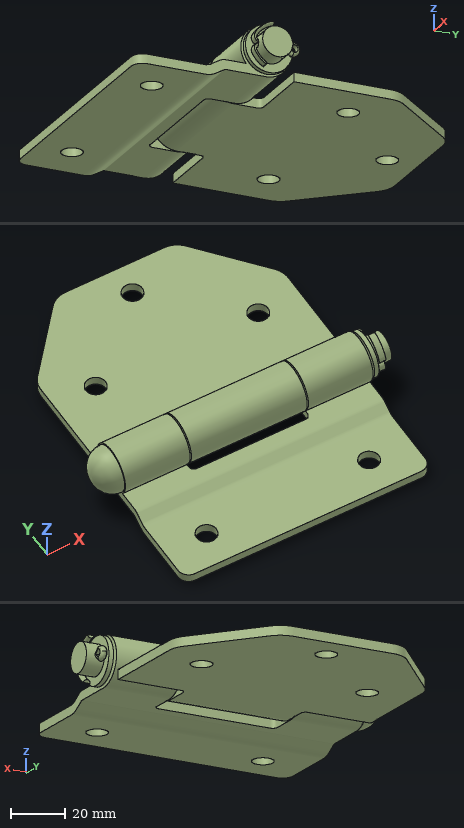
import cadquery as cq
import math


sheet = 3.9
knuckle_r = 10.2
half_width = 53.3
leaf_top = sheet - knuckle_r
middle_knuckle_half = 24.9
knuckle_gap = 0.5
notch_reach = 11.5
notch_corner_r = 2.0
cut_height = 4 * knuckle_r

upper_end = 87.2
shoulder_y = 54.6
upper_end_half_width = 25.8
upper_corner_r = 10.0

lower_end = -52.8
lower_corner_r = 4.6
step_start = -16.4
step_drop = 3.4
step_angle = math.radians(30)
step_bend_r = 4.6

screw_hole_r = 4.2
screw_x = 35.0
upper_screw_y = 42.1
tip_screw_y = 74.3
lower_screw_y = -38.1

pin_r = 6.2
head_r = 9.7
head_length = 8.8
head_round_r = 8.7
pin_overhang = 10.5
washer_r = 9.7
washer_thickness = 2.0
washer_gap = 1.0

wire_r = 1.4
split_pin_x = half_width + 5.5
eye_y = 8.4
eye_flat_r = 1.5
neck_y = 6.6
bend_y = -5.5
bend_r = 2.4
leg_r = 11.9
leg_lean = math.radians(27)
long_leg_sweep = math.radians(49)
short_leg_sweep = math.radians(33)


def cylinder(radius, start_x, length):
    return cq.Workplane("YZ", origin=(start_x, 0, 0)).circle(radius).extrude(length)


def block(x_min, x_max, y_min, y_max):
    """Box tall enough to cut through the leaves and knuckles."""
    centre = ((x_min + x_max) / 2, (y_min + y_max) / 2)
    return cq.Workplane("XY").center(*centre).box(x_max - x_min, y_max - y_min, cut_height)


def screw_holes(points):
    return cq.Workplane("XY").pushPoints(points).circle(screw_hole_r).extrude(cut_height / 2, both=True)


def with_knuckles(plate, spans):
    """Add a knuckle over each (start, end) span in X and bore them all for the pin."""
    for start, end in spans:
        plate = plate.union(cylinder(knuckle_r, start, end - start))
    return plate.cut(cylinder(pin_r, -half_width, 2 * half_width))


def make_upper_leaf():
    plate = (
        cq.Workplane("XY", origin=(0, 0, -knuckle_r))
        .moveTo(-half_width, 0)
        .lineTo(half_width, 0)
        .lineTo(half_width, shoulder_y)
        .lineTo(upper_end_half_width, upper_end)
        .lineTo(-upper_end_half_width, upper_end)
        .lineTo(-half_width, shoulder_y)
        .close()
        .extrude(sheet)
        .edges("|Z")
        .edges("not <Y")
        .fillet(upper_corner_r)
    )
    right_notch = (
        block(middle_knuckle_half, half_width, -notch_reach, notch_reach)
        .edges("|Z and <X")
        .fillet(notch_corner_r)
    )
    plate = plate.cut(right_notch).cut(right_notch.mirror("YZ"))
    leaf = with_knuckles(plate, [(-middle_knuckle_half, middle_knuckle_half)])
    return leaf.cut(screw_holes([(-screw_x, upper_screw_y), (screw_x, upper_screw_y), (0, tip_screw_y)]))


def stepped_plate():
    """Sheet running from the knuckles to the lower end, with a downward step of two equal bends."""
    bend_run = step_bend_r * math.sin(step_angle)
    bend_drop = step_bend_r * (1 - math.cos(step_angle))
    slope_drop = step_drop - 2 * bend_drop
    slope_run = slope_drop / math.tan(step_angle)
    slope_start = (step_start - bend_run, leaf_top - bend_drop)
    slope_end = (slope_start[0] - slope_run, slope_start[1] - slope_drop)
    low_top = leaf_top - step_drop
    top_line = (
        cq.Workplane("YZ")
        .moveTo(0, leaf_top)
        .lineTo(step_start, leaf_top)
        .tangentArcPoint(slope_start, relative=False)
        .lineTo(*slope_end)
        .tangentArcPoint((slope_end[0] - bend_run, low_top), relative=False)
        .lineTo(lower_end, low_top)
    )
    section = cq.Workplane("XZ").center(0, leaf_top - sheet / 2).rect(2 * half_width, sheet)
    return section.sweep(top_line)


def make_lower_leaf():
    plate = stepped_plate().edges("|Z and <Y").fillet(lower_corner_r)
    notch_half = middle_knuckle_half + knuckle_gap
    notch = (
        block(-notch_half, notch_half, -notch_reach, notch_reach)
        .edges("|Z and <Y")
        .fillet(notch_corner_r)
    )
    leaf = with_knuckles(plate.cut(notch), [(-half_width, -notch_half), (notch_half, half_width)])
    return leaf.cut(screw_holes([(-screw_x, lower_screw_y), (screw_x, lower_screw_y)]))


def make_split_pin_half(leg_sweep):
    """Upper half of the split pin: half of the eye, the straight shank and one bent leg."""
    eye_diagonal = eye_flat_r * math.sqrt(0.5)
    turn = math.pi / 2 + leg_lean
    bend_end = (bend_y - bend_r * math.sin(turn), bend_r * (1 - math.cos(turn)))
    leg_centre_y = bend_y + (leg_r - bend_r) * math.cos(leg_lean)
    leg_centre_z = bend_r - (leg_r - bend_r) * math.sin(leg_lean)
    leg_tip_angle = leg_lean + leg_sweep
    leg_tip = (
        leg_centre_y - leg_r * math.cos(leg_tip_angle),
        leg_centre_z + leg_r * math.sin(leg_tip_angle),
    )
    flat_line = (
        cq.Workplane("YZ", origin=(split_pin_x, 0, 0))
        .moveTo(eye_y + eye_flat_r, 0)
        .threePointArc((eye_y + eye_diagonal, eye_diagonal), (eye_y, eye_flat_r))
        .lineTo(neck_y, 0)
        .lineTo(bend_y, 0)
        .tangentArcPoint(bend_end, relative=False)
        .tangentArcPoint(leg_tip, relative=False)
    )
    section = (
        cq.Workplane("XY", origin=(split_pin_x, eye_y + eye_flat_r, 0))
        .moveTo(-wire_r, 0)
        .threePointArc((0, wire_r), (wire_r, 0))
        .close()
    )
    return section.sweep(flat_line, transition="right")


def make_split_pin():
    upper_half = make_split_pin_half(long_leg_sweep)
    lower_half = make_split_pin_half(short_leg_sweep).mirror("XY")
    return upper_half.union(lower_half)


def make_pin(split_pin):
    head = cylinder(head_r, -half_width - head_length, head_length).edges("<X").fillet(head_round_r)
    shank = cylinder(pin_r, -half_width, 2 * half_width + pin_overhang)
    return head.union(shank).cut(split_pin)


def make_washer():
    start = half_width + washer_gap
    return cylinder(washer_r, start, washer_thickness).cut(cylinder(pin_r, start, washer_thickness))


upper_leaf = make_upper_leaf()
lower_leaf = make_lower_leaf()
washer = make_washer()
split_pin = make_split_pin()
pin = make_pin(split_pin)

result = cq.Compound.makeCompound([
    *upper_leaf.solids().vals(),
    *lower_leaf.solids().vals(),
    *pin.solids().vals(),
    *washer.solids().vals(),
    *split_pin.solids().vals(),
])